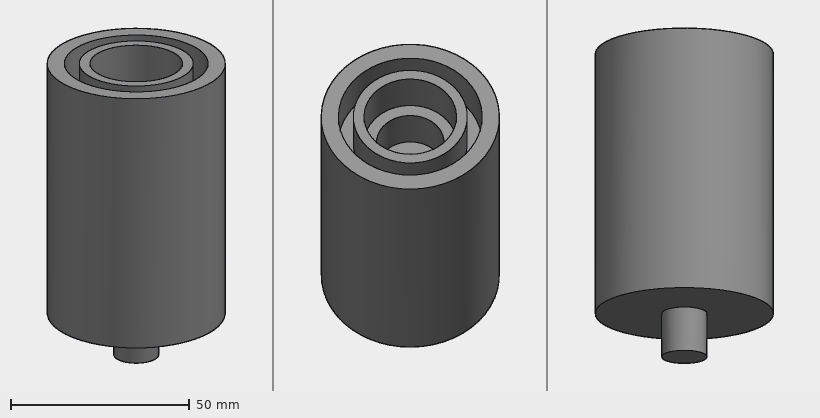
import cadquery as cq

total_height = 88.9
stem_length = 12.7
body_diameter = 50.05
stem_diameter = 12.7

groove_outer_diameter = 40.4
sleeve_diameter = 32.0
groove_depth = 12.7

bore_diameter = 26.0
bore_depth = groove_depth
lower_bore_diameter = 19.0
lower_bore_depth = 2 * bore_depth

body_height = total_height - stem_length


def cylinder_down(diameter, top, depth):
    """Solid cylinder on the Z axis, extending down from the given top height."""
    return cq.Workplane("XY").workplane(offset=top).circle(diameter / 2).extrude(-depth)


body = cylinder_down(body_diameter, total_height, body_height)
stem = cylinder_down(stem_diameter, stem_length, stem_length)

sleeve = cylinder_down(sleeve_diameter, total_height, groove_depth)
groove = cylinder_down(groove_outer_diameter, total_height, groove_depth).cut(sleeve)

bore = cylinder_down(bore_diameter, total_height, bore_depth)
lower_bore = cylinder_down(lower_bore_diameter, total_height, lower_bore_depth)

result = body.union(stem).cut(groove).cut(bore).cut(lower_bore)